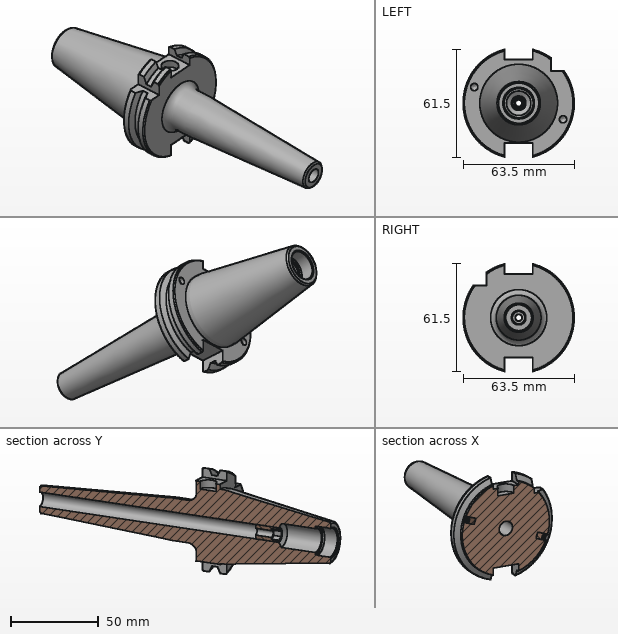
import cadquery as cq
import math

total_length = 188.4
gauge_x = 68.4
flange_start_x = 71.5
flange_end_x = 87.5
neck_start_x = 92.5
shank_taper_start_x = 102.5

gauge_radius = 44.5 / 2
taper_ratio = 7 / 24
taper_end_radius = gauge_radius - gauge_x * taper_ratio / 2
taper_end_chamfer = 1.0
flange_radius = 63.5 / 2
flange_chamfer = 0.8
collar_radius = 16.0
neck_radius = 12.8
shank_taper_angle = 3.0
nose_radius = neck_radius - (total_length - shank_taper_start_x) * math.tan(math.radians(shank_taper_angle))
nose_chamfer = 1.0

groove_x = 79.5
groove_floor_radius = 28.3
groove_floor_width = 3.5
groove_mouth_width = 7.2

slot_width = 16.0
upper_slot_floor = 25.0
lower_slot_floor = 22.8
notch_offset = 18.5
chip_hole_diameter = 10.0
chip_hole_depth = 4.5

counterbore_radius = 8.5
counterbore_depth = 8.7
step_radius = 8.3
step_end_x = 10.0
counterbore_chamfer = 0.5
thread_radius = 7.0
thread_end_x = 32.0
through_radius = 4.1
drill_point_angle = 118.0
thread_point_length = (thread_radius - through_radius) / math.tan(math.radians(drill_point_angle / 2))

stop_screw_start_x = thread_end_x + thread_point_length
stop_screw_length = 15.0
stop_screw_chamfer = 0.5
stop_screw_hex = 5.3
stop_screw_hex_depth = 4.7
stop_screw_hole_radius = 1.9

coolant_angle = 20.0
coolant_circle_radius = 27.0
coolant_hole_radius = 2.0
coolant_hole_depth = 2.8
coolant_point_length = coolant_hole_radius / math.tan(math.radians(drill_point_angle / 2))
plug_radius = 1.7
plug_length = 5.7
plug_recess = 1.1
plug_hex = 1.7
plug_hex_depth = 1.9


def revolve_about_x(points):
    """Turn an (x, radius) outline about the X axis."""
    return cq.Workplane("XY").polyline(points).close().revolve(360, (0, 0, 0), (1, 0, 0))


def radial_plane(angle, radius):
    """Plane at the groove centre, facing outward at an angle from +Y towards +Z."""
    outward = (0, math.cos(math.radians(angle)), math.sin(math.radians(angle)))
    origin = (groove_x, radius * outward[1], radius * outward[2])
    return cq.Plane(origin=origin, xDir=(1, 0, 0), normal=outward)


def turned_blank():
    """Taper, flange, collar and shank in one turned shape."""
    taper_chamfer_drop = taper_end_chamfer * (1 - taper_ratio / 2)
    collar_length = neck_start_x - flange_end_x
    collar_rise = collar_radius - neck_radius
    arc_radius = (collar_length**2 + collar_rise**2) / (2 * collar_rise)
    half_sweep = math.asin(collar_length / arc_radius) / 2
    arc_middle = (
        neck_start_x - arc_radius * math.sin(half_sweep),
        neck_radius + arc_radius * (1 - math.cos(half_sweep)),
    )
    outline = (
        cq.Workplane("XY")
        .moveTo(0, 0)
        .lineTo(0, taper_end_radius - taper_chamfer_drop)
        .lineTo(taper_end_chamfer, taper_end_radius + taper_end_chamfer * taper_ratio / 2)
        .lineTo(gauge_x, gauge_radius)
        .lineTo(flange_start_x, gauge_radius)
        .lineTo(flange_start_x, flange_radius - flange_chamfer)
        .lineTo(flange_start_x + flange_chamfer, flange_radius)
        .lineTo(flange_end_x - flange_chamfer, flange_radius)
        .lineTo(flange_end_x, flange_radius - flange_chamfer)
        .lineTo(flange_end_x, collar_radius)
        .threePointArc(arc_middle, (neck_start_x, neck_radius))
        .lineTo(shank_taper_start_x, neck_radius)
        .lineTo(total_length - nose_chamfer, nose_radius)
        .lineTo(total_length, nose_radius - nose_chamfer)
        .lineTo(total_length, 0)
        .close()
    )
    return outline.revolve(360, (0, 0, 0), (1, 0, 0))


def gripper_groove():
    """V groove with a flat floor."""
    half_floor = groove_floor_width / 2
    half_mouth = groove_mouth_width / 2
    return revolve_about_x(
        [
            (groove_x - half_floor, groove_floor_radius),
            (groove_x - half_mouth, flange_radius),
            (groove_x + half_mouth, flange_radius),
            (groove_x + half_floor, groove_floor_radius),
        ]
    )


def flange_box(y_start, y_end, z_start, z_end):
    """Block across the whole flange thickness."""
    length = flange_end_x - flange_start_x
    size = (length, y_end - y_start, z_end - z_start)
    return cq.Workplane("XY").box(*size, centered=False).translate((flange_start_x, y_start, z_start))


def flange_cuts():
    """Two drive slots and the index notch."""
    half_slot = slot_width / 2
    upper_slot = flange_box(-half_slot, half_slot, upper_slot_floor, flange_radius)
    lower_slot = flange_box(-half_slot, half_slot, -flange_radius, -lower_slot_floor)
    notch = flange_box(-flange_radius, -notch_offset, notch_offset, flange_radius)
    return [upper_slot, lower_slot, notch]


def chip_hole():
    """Blind round hole in the floor of the upper slot."""
    hole = cq.Workplane("XY").circle(chip_hole_diameter / 2).extrude(chip_hole_depth)
    return hole.translate((groove_x, 0, upper_slot_floor - chip_hole_depth))


def axial_bore():
    """Stepped counterbore, thread core with its drill point, and the through bore."""
    return revolve_about_x(
        [
            (0, 0),
            (0, counterbore_radius + counterbore_chamfer),
            (counterbore_chamfer, counterbore_radius),
            (counterbore_depth, counterbore_radius),
            (counterbore_depth, step_radius),
            (step_end_x, step_radius),
            (step_end_x, thread_radius),
            (thread_end_x, thread_radius),
            (thread_end_x + thread_point_length, through_radius),
            (total_length, through_radius),
            (total_length, 0),
        ]
    )


def coolant_hole(angle):
    """Blind drilled hole in the flange face beside the taper."""
    hole = revolve_about_x(
        [
            (0, 0),
            (0, coolant_hole_radius),
            (coolant_hole_depth, coolant_hole_radius),
            (coolant_hole_depth + coolant_point_length, 0),
        ]
    )
    y = coolant_circle_radius * math.cos(math.radians(angle))
    z = coolant_circle_radius * math.sin(math.radians(angle))
    return hole.translate((flange_start_x, y, z))


def plug_hole(angle):
    """Blind hole in the groove floor that takes a plug screw."""
    depth = plug_recess + plug_length
    return (
        cq.Workplane(radial_plane(angle, groove_floor_radius - depth))
        .circle(plug_radius)
        .extrude(depth)
    )


def plug_screw(angle):
    """Headless screw with a hexagon socket in its outer end."""
    top = groove_floor_radius - plug_recess
    screw = cq.Workplane(radial_plane(angle, top)).circle(plug_radius).extrude(-plug_length)
    socket = (
        cq.Workplane(radial_plane(angle, top))
        .polygon(6, plug_hex, circumscribed=True)
        .extrude(-plug_hex_depth)
    )
    return screw.cut(socket)


def stop_screw():
    """Hollow screw in the through bore with a hexagon socket facing the taper end."""
    screw = cq.Workplane("YZ").circle(through_radius).extrude(stop_screw_length)
    screw = screw.faces("<X or >X").chamfer(stop_screw_chamfer)
    socket = cq.Workplane("YZ").polygon(6, stop_screw_hex, circumscribed=True).extrude(stop_screw_hex_depth)
    hole = cq.Workplane("YZ").circle(stop_screw_hole_radius).extrude(stop_screw_length)
    return screw.cut(socket).cut(hole).translate((stop_screw_start_x, 0, 0))


coolant_angles = [coolant_angle, coolant_angle + 180]

holder = turned_blank().cut(gripper_groove())
for flange_cut in flange_cuts():
    holder = holder.cut(flange_cut)
holder = holder.cut(chip_hole()).cut(axial_bore())
for angle in coolant_angles:
    holder = holder.cut(coolant_hole(angle)).cut(plug_hole(angle))

plug_screws = [plug_screw(angle).val() for angle in coolant_angles]

result = cq.Compound.makeCompound([holder.val(), stop_screw().val(), *plug_screws])